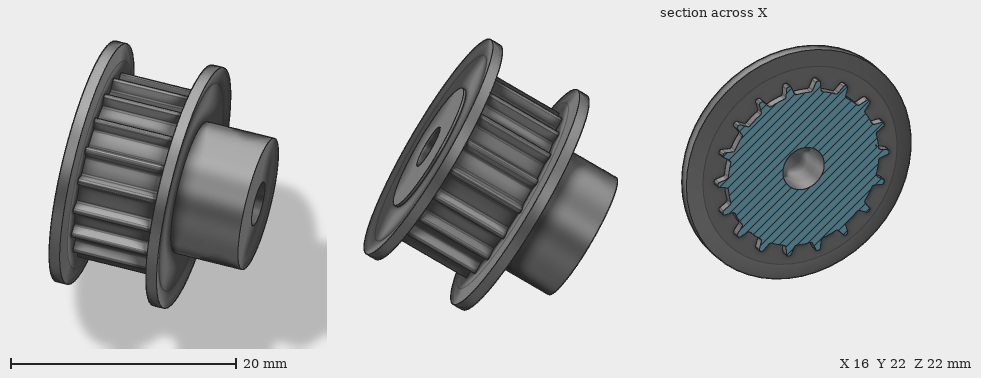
import cadquery as cq
import math


flange_span = 10.0
total_length = 16.0

hub_diameter = 12.0
bore_diameter = 4.0

flange_diameter = 22.0
flange_flat_diameter = 19.0
flange_thickness = 1.0
dish_depth = 0.25

tooth_count = 18
tip_diameter = 16.8
root_diameter = 14.8
groove_floor_width = 1.62
groove_angle = 50.0
tooth_rounding = 0.2

hub_radius = hub_diameter / 2
bore_radius = bore_diameter / 2
rim_radius = flange_diameter / 2
flat_radius = flange_flat_diameter / 2
tip_radius = tip_diameter / 2
root_radius = root_diameter / 2
tooth_pitch = 2 * math.pi / tooth_count
flange_inner_x = dish_depth + flange_thickness


def flank_angle_from_groove(radius):
    """Angle between the groove centre line and the straight flank at the given radius."""
    half_angle = math.radians(groove_angle / 2)
    half_width = groove_floor_width / 2
    floor_height = math.sqrt(root_radius**2 - half_width**2)
    flank_offset = half_width * math.cos(half_angle) - floor_height * math.sin(half_angle)
    return half_angle + math.asin(flank_offset / radius)


def polar(radius, angle):
    """Point in the YZ plane, with the angle measured from +Y towards +Z."""
    return (radius * math.cos(angle), radius * math.sin(angle))


def toothed_ring():
    """Toothed body between the flanges, with a tooth centred on +Y and rounded tooth corners."""
    tip_half_angle = tooth_pitch / 2 - flank_angle_from_groove(tip_radius)
    root_half_angle = tooth_pitch / 2 - flank_angle_from_groove(root_radius)

    outline = cq.Workplane("YZ").workplane(offset=dish_depth)
    outline = outline.moveTo(*polar(root_radius, -root_half_angle))
    for tooth in range(tooth_count):
        centre = tooth * tooth_pitch
        groove_centre = centre + tooth_pitch / 2
        next_root = centre + tooth_pitch - root_half_angle
        outline = outline.lineTo(*polar(tip_radius, centre - tip_half_angle))
        outline = outline.threePointArc(
            polar(tip_radius, centre), polar(tip_radius, centre + tip_half_angle)
        )
        outline = outline.lineTo(*polar(root_radius, centre + root_half_angle))
        outline = outline.threePointArc(
            polar(root_radius, groove_centre), polar(root_radius, next_root)
        )
    ring = outline.close().extrude(flange_span - 2 * dish_depth)
    return ring.edges("|X").fillet(tooth_rounding)


def first_flange():
    """Dished flange at x = 0, hollow side facing -X."""
    profile = [
        (dish_depth, 0),
        (dish_depth, flat_radius),
        (0, rim_radius),
        (flange_thickness, rim_radius),
        (flange_inner_x, flat_radius),
        (flange_inner_x, 0),
    ]
    return cq.Workplane("XY").polyline(profile).close().revolve(360, (0, 0, 0), (1, 0, 0))


def second_flange():
    """Mirror image of the first flange, at the hub end of the toothed ring."""
    return first_flange().mirror("YZ").translate((flange_span, 0, 0))


def hub():
    """Cylinder through the whole part, projecting as the hub past the second flange."""
    return cq.Workplane("YZ").circle(hub_radius).extrude(total_length)


def bore():
    """Through hole along the axis."""
    return cq.Workplane("YZ").circle(bore_radius).extrude(total_length)


result = hub().union(toothed_ring()).union(first_flange()).union(second_flange()).cut(bore())